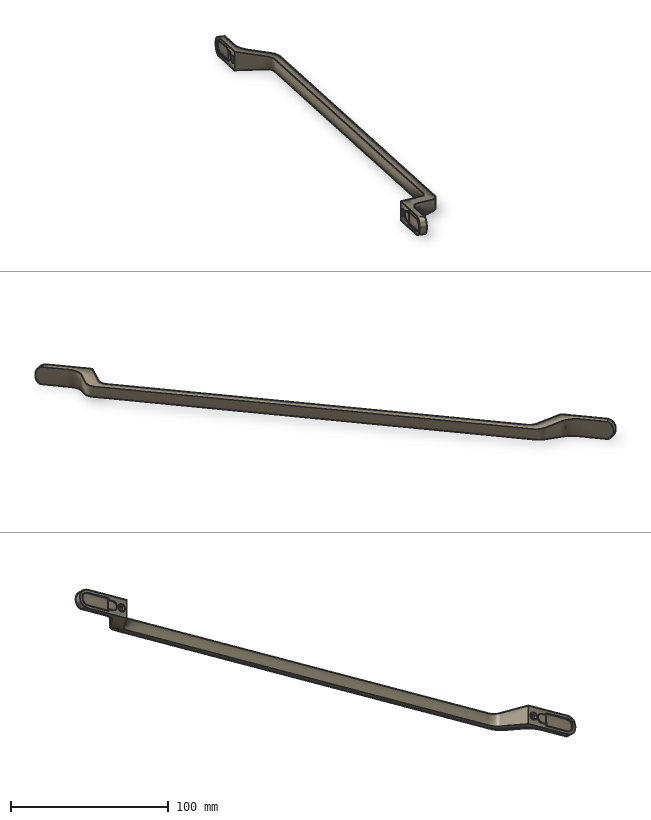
import cadquery as cq
import math

LENGTH = 385.0
REACH = 26.8
FOOT_HEIGHT = 12.6

BAR_THICKNESS = 5.8
BAR_UNDERSIDE = REACH - BAR_THICKNESS
FOOT_THICKNESS = 4.8
FOOT_LENGTH = 36.6
LEG_ANGLE = 60.5
LEG_THICKNESS = 8.7
INNER_BEND_RADIUS = 7.0
OUTER_BEND_RADIUS = 9.0
FOOT_BEND_RADIUS = 12.0

GRIP_BACK_HEIGHT = 7.0

RIM_WIDTH = 2.0
POCKET_END_X = 170.0
POCKET_DEPTH = 1.0
RELIEF_HEIGHT = 6.2
RELIEF_END_X = 163.5
RELIEF_DEPTH = 0.5

HOLE_SPACING = 320.0
HOLE_DIAMETER = 3.24
HOLE_DEPTH = 7.5
COUNTERSINK_DIAMETER = 5.2

HALF_LENGTH = LENGTH / 2
FOOT_RADIUS = FOOT_HEIGHT / 2
FOOT_CENTRE_X = HALF_LENGTH - FOOT_RADIUS
SIDES = (-1, 1)


def bowed_bar():
    """Bar of constant height, before narrowing: two feet, two sloping legs and the straight grip."""
    run_per_rise = 1 / math.tan(math.radians(LEG_ANGLE))
    foot_inner_x = HALF_LENGTH - FOOT_LENGTH
    leg_outer_x = foot_inner_x + LEG_THICKNESS / math.sin(math.radians(LEG_ANGLE))
    inner_corner_x = foot_inner_x - BAR_UNDERSIDE * run_per_rise
    outer_corner_x = leg_outer_x - REACH * run_per_rise
    foot_corner_x = leg_outer_x - FOOT_THICKNESS * run_per_rise

    right_half = [
        (inner_corner_x, BAR_UNDERSIDE),
        (foot_inner_x, 0),
        (HALF_LENGTH, 0),
        (HALF_LENGTH, FOOT_THICKNESS),
        (foot_corner_x, FOOT_THICKNESS),
        (outer_corner_x, REACH),
    ]
    left_half = [(-x, y) for x, y in reversed(right_half)]
    bar = cq.Workplane("XY").polyline(right_half + left_half).close().extrude(FOOT_RADIUS, both=True)

    bends = (
        (inner_corner_x, BAR_UNDERSIDE, INNER_BEND_RADIUS),
        (foot_corner_x, FOOT_THICKNESS, FOOT_BEND_RADIUS),
        (outer_corner_x, REACH, OUTER_BEND_RADIUS),
    )
    for x, y, radius in bends:
        for side in SIDES:
            corner = cq.selectors.NearestToPointSelector((side * x, y, 0))
            bar = bar.edges("|Z").edges(corner).fillet(radius)
    return bar


def height_envelope():
    """Section in YZ that narrows evenly from the mounting face to the back of the grip, swept along X."""
    half_section = [
        (0, FOOT_RADIUS),
        (REACH, GRIP_BACK_HEIGHT / 2),
    ]
    mirrored = [(y, -z) for y, z in reversed(half_section)]
    section = cq.Workplane("YZ").polyline(half_section + mirrored).close()
    return section.extrude(HALF_LENGTH, both=True)


def plan_slot(inner_x, outer_x, height, depth):
    """Round-ended slot running along X, reaching the given depth behind the mounting face."""
    slot = cq.Workplane("XZ").center((inner_x + outer_x) / 2, 0)
    return slot.slot2D(outer_x - inner_x, height).extrude(-depth)


def foot_pocket():
    """Pocket inset from the foot's round end, with a square inner end."""
    outer_x = HALF_LENGTH - RIM_WIDTH
    height = FOOT_HEIGHT - 2 * RIM_WIDTH
    arc_end = (FOOT_CENTRE_X, height / 2)
    outline = (
        cq.Workplane("XZ")
        .moveTo(POCKET_END_X, -height / 2)
        .lineTo(FOOT_CENTRE_X, -height / 2)
        .threePointArc((outer_x, 0), arc_end)
        .lineTo(POCKET_END_X, height / 2)
        .close()
    )
    return outline.extrude(-POCKET_DEPTH)


def relief_pocket():
    """Shallower and narrower round-ended pocket between the foot pocket and the screw hole."""
    return plan_slot(RELIEF_END_X, FOOT_CENTRE_X, RELIEF_HEIGHT, RELIEF_DEPTH)


def screw_hole():
    """Countersunk blind hole with a 45 degree conical bottom."""
    radius = HOLE_DIAMETER / 2
    mouth_radius = COUNTERSINK_DIAMETER / 2
    section = [
        (0, 0),
        (mouth_radius, 0),
        (radius, mouth_radius - radius),
        (radius, HOLE_DEPTH),
        (0, HOLE_DEPTH + radius),
    ]
    hole = cq.Workplane("XY").polyline(section).close().revolve(360, (0, 0), (0, 1))
    return hole.translate((HOLE_SPACING / 2, 0, 0))


outline = plan_slot(-HALF_LENGTH, HALF_LENGTH, FOOT_HEIGHT, REACH)
result = bowed_bar().intersect(height_envelope()).intersect(outline)

for cut in (foot_pocket(), relief_pocket(), screw_hole()):
    result = result.cut(cut).cut(cut.mirror("YZ"))